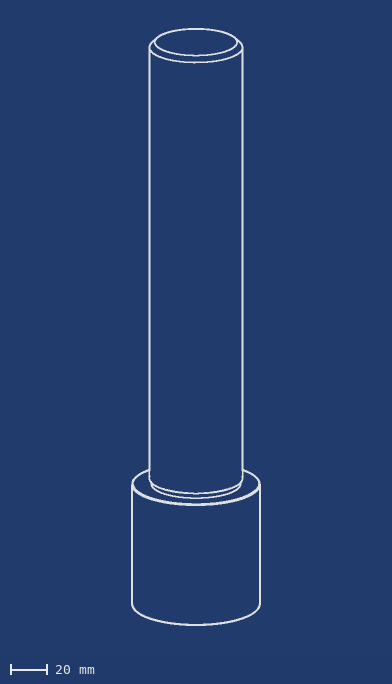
import cadquery as cq

total_length = 325.0
head_diameter = 70.0
head_length = 70.0
head_edge_chamfer = 0.5
shank_diameter = 51.0
shank_tip_chamfer = 3.0
relief_diameter = 49.0
relief_length = 3.0


def make_head():
    """Cylindrical head with both rims lightly broken."""
    head = cq.Workplane("XY").circle(head_diameter / 2).extrude(head_length)
    return head.faces("<Z or >Z").edges().chamfer(head_edge_chamfer)


def make_relief():
    """Short neck of reduced diameter between the head and the shank."""
    neck = cq.Workplane("XY").workplane(offset=head_length)
    return neck.circle(relief_diameter / 2).extrude(relief_length)


def make_shank():
    """Long plain shank with a chamfered free end."""
    shank_start = head_length + relief_length
    shank = cq.Workplane("XY").workplane(offset=shank_start)
    shank = shank.circle(shank_diameter / 2).extrude(total_length - shank_start)
    return shank.faces(">Z").edges().chamfer(shank_tip_chamfer)


result = make_head().union(make_relief()).union(make_shank())